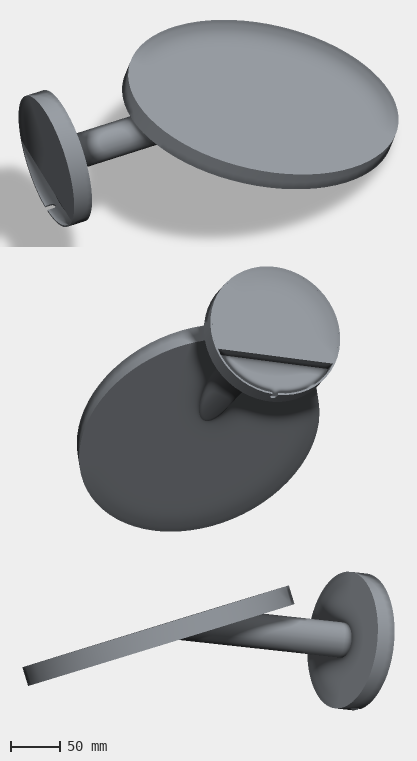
import cadquery as cq
import math

base_diameter = 140.0
base_thickness = 20.0
base_wall = 2.0
base_floor = 4.5
base_cavity_depth = base_thickness - base_floor
cavity_radius = base_diameter / 2 - base_wall

notch_width = 6.0
notch_depth = 10.0

cover_chord_z = -28.0

arm_diameter = 36.0

total_length = 382.7
head_tilt = 20.0
head_width = 240.0
head_length = 300.0
head_thickness = 20.0
head_top_end_z = 44.5

rim_lip = 1.0
rim_wall = 2.5
rim_ledge_depth = 2.0

panel_width = 135.0
panel_length = 180.0
panel_thickness = 2.0

tilt_sin = math.sin(math.radians(head_tilt))
tilt_cos = math.cos(math.radians(head_tilt))

head_center_y = total_length - head_length / 2 * tilt_cos
head_center_z = head_top_end_z - head_length / 2 * tilt_sin
head_plane = cq.Plane(
    origin=(0, head_center_y, head_center_z),
    xDir=(1, 0, 0),
    normal=(0, tilt_sin, tilt_cos),
)


def cylinder_along_y(diameter, start_y, length):
    """Solid cylinder on the Y axis, running from start_y towards +Y."""
    plane = cq.Plane(origin=(0, start_y, 0), xDir=(0, 0, 1), normal=(0, 1, 0))
    return cq.Workplane(plane).circle(diameter / 2).extrude(length)


def make_notch():
    notch_radius = notch_width / 2
    straight_depth = notch_depth - notch_radius
    return (
        cq.Workplane("XY", origin=(0, 0, -base_diameter / 2 - base_wall))
        .moveTo(-notch_radius, 0)
        .lineTo(-notch_radius, straight_depth)
        .threePointArc((0, notch_depth), (notch_radius, straight_depth))
        .lineTo(notch_radius, 0)
        .close()
        .extrude(3 * base_wall)
    )


def make_base():
    cup = cylinder_along_y(base_diameter, 0, base_thickness)
    cavity = cylinder_along_y(2 * cavity_radius, 0, base_cavity_depth)
    return cup.cut(cavity).cut(make_notch())


def make_cover():
    disc = cylinder_along_y(2 * cavity_radius, 0, base_cavity_depth)
    upper_part = cq.Workplane("XY", origin=(0, 0, cover_chord_z)).box(
        base_diameter, 2 * base_thickness, base_diameter, centered=(True, True, False)
    )
    return disc.intersect(upper_part)


def make_panel():
    return cq.Workplane(head_plane).rect(panel_width, panel_length).extrude(-panel_thickness)


def head_disc(inset, thickness):
    """Elliptical disc below the head's top face, its outline drawn in by inset."""
    return (
        cq.Workplane(head_plane)
        .ellipse(head_width / 2 - inset, head_length / 2 - inset)
        .extrude(-thickness)
    )


def make_filled_core():
    return head_disc(rim_wall, head_thickness).union(head_disc(rim_lip, rim_ledge_depth))


def make_rim():
    return head_disc(0, head_thickness).cut(make_filled_core())


def make_core(panel):
    return make_filled_core().cut(panel)


def make_arm():
    """Round arm from the base, ending on the sloping underside of the head."""
    arm = cylinder_along_y(arm_diameter, base_thickness, head_center_y - base_thickness)
    above_underside = (
        cq.Workplane(head_plane)
        .workplane(offset=-head_thickness)
        .rect(2 * head_width, 2 * head_length)
        .extrude(head_length)
    )
    return arm.cut(above_underside)


base = make_base().union(make_arm())
cover = make_cover()
panel = make_panel()
rim = make_rim()
core = make_core(panel)

result = cq.Compound.makeCompound([base.val(), cover.val(), rim.val(), core.val(), panel.val()])